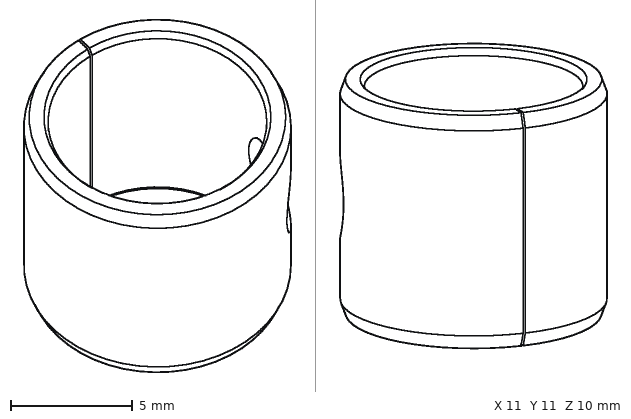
import cadquery as cq
import math

outer_diameter = 11.0
bore_diameter = 9.0
height = 10.0
outer_chamfer_height = 0.6
outer_chamfer_angle = 20.0
bore_chamfer_height = 0.3
bore_chamfer_angle = 30.0
slit_width = 0.1
oil_hole_diameter = 4.0
oil_hole_angle = 59.0

outer_radius = outer_diameter / 2
bore_radius = bore_diameter / 2
half_height = height / 2
outer_chamfer_depth = outer_chamfer_height * math.tan(math.radians(outer_chamfer_angle))
bore_chamfer_depth = bore_chamfer_height * math.tan(math.radians(bore_chamfer_angle))


def make_sleeve():
    """Revolve the wall section, chamfered inside and outside at both ends, with its seam at -X."""
    shoulder = half_height - outer_chamfer_height
    end_radius = outer_radius - outer_chamfer_depth
    bore_edge = half_height - bore_chamfer_height
    bore_end_radius = bore_radius + bore_chamfer_depth
    return (
        cq.Workplane("XZ")
        .moveTo(bore_end_radius, half_height)
        .lineTo(end_radius, half_height)
        .lineTo(outer_radius, shoulder)
        .lineTo(outer_radius, -shoulder)
        .lineTo(end_radius, -half_height)
        .lineTo(bore_end_radius, -half_height)
        .lineTo(bore_radius, -bore_edge)
        .lineTo(bore_radius, bore_edge)
        .close()
        .revolve(360, (0, 0, 0), (0, 1, 0))
        .rotate((0, 0, 0), (0, 0, 1), 180)
    )


def make_slit():
    """Thin full-height cut through the -X wall, with one face on the XZ plane and the other at +Y."""
    slit_center = (-outer_radius, slit_width / 2, 0)
    return cq.Workplane("XY").box(outer_radius, slit_width, height).translate(slit_center)


def make_oil_hole():
    """Radial cylinder from the axis out through one wall at mid height."""
    return (
        cq.Workplane("YZ")
        .circle(oil_hole_diameter / 2)
        .extrude(outer_diameter)
        .rotate((0, 0, 0), (0, 0, 1), oil_hole_angle)
    )


result = make_sleeve().cut(make_slit()).cut(make_oil_hole())